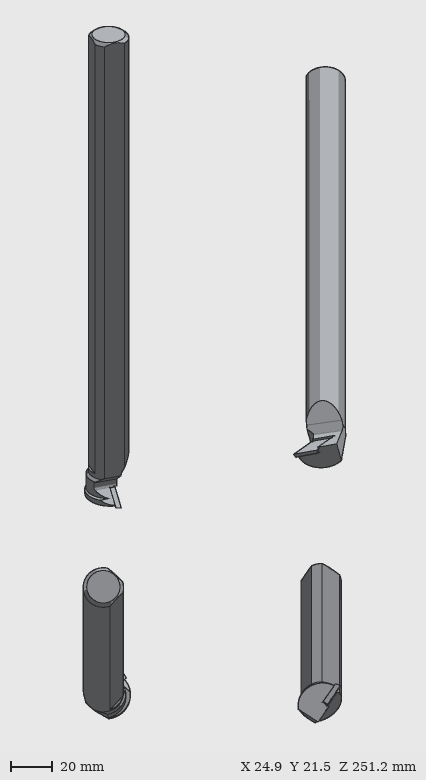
import cadquery as cq
import math

TOTAL_LENGTH = 251.2
OVERALL_WIDTH = 24.9
OVERALL_DEPTH = 21.5
MARGIN = 25.0

SHANK_RADIUS = 19.3 / 2
FRONT_FLAT = 8.5
SIDE_FLAT = 8.3
TOP_BEVEL_RADIAL = 1.8
TOP_BEVEL_HEIGHT = 1.5

HEAD_RADIUS = 10.8
COLLAR_TOP = 15.0
COLLAR_CONE_TOP = 12.8
COLLAR_BOTTOM = 11.3
FOOT_TOP = 3.5
FOOT_STEP = 0.38
CLEARANCE_RADIUS = 11.8
CLEARANCE_X = 1.5
CLEARANCE_Y = SHANK_RADIUS - OVERALL_DEPTH + CLEARANCE_RADIUS

HEEL_X = -6.0
HEEL_Z = 1.63
FACET_EDGE_X = -6.3
FACET_END_Y = -3.0
BACK_TOP_X = -SHANK_RADIUS
BACK_TOP_Z = 13.3
NECK_X = 5.3
NECK_TOP = 10.5
NECK_FILLET = 2.8 / 2
SHOULDER_Z = NECK_TOP + SIDE_FLAT - NECK_X

RELIEF_TOP_Z = 24.5
RELIEF_KNEE_Y = 3.8
RELIEF_KNEE_Z = 15.5
FACE_Y = 2.3
FACE_TOP_Z = 10.0

INSERT_SIDE = 11.3
INSERT_LEAD = 3.0
INSERT_NOSE_ANGLE = 35.0
INSERT_THICKNESS = 2.5
INSERT_FACE_Y = 1.0
INSERT_TAPER = 5.0
TIP_X = OVERALL_WIDTH - SHANK_RADIUS
SEAT_SETBACK = 1.3


def edge_vector(angle):
    """Rhombus edge running from the tip towards -X, raised by the angle."""
    radians = math.radians(angle)
    return -INSERT_SIDE * math.cos(radians), INSERT_SIDE * math.sin(radians)


def rhombus():
    """Insert outline on the plane of its +Y face."""
    low_x, low_z = edge_vector(INSERT_LEAD)
    high_x, high_z = edge_vector(INSERT_LEAD + INSERT_NOSE_ANGLE)
    return cq.Workplane("XZ", origin=(0, INSERT_FACE_Y, 0)).polyline([
        (TIP_X, 0),
        (TIP_X + high_x, high_z),
        (TIP_X + high_x + low_x, high_z + low_z),
        (TIP_X + low_x, low_z),
    ]).close()


def make_insert():
    return rhombus().extrude(INSERT_THICKNESS, taper=INSERT_TAPER)


def make_shank():
    shank = (
        cq.Workplane("XZ")
        .moveTo(0, COLLAR_TOP)
        .lineTo(SHANK_RADIUS, COLLAR_TOP)
        .lineTo(SHANK_RADIUS, TOTAL_LENGTH - TOP_BEVEL_HEIGHT)
        .lineTo(SHANK_RADIUS - TOP_BEVEL_RADIAL, TOTAL_LENGTH)
        .lineTo(0, TOTAL_LENGTH)
        .close()
        .revolve(360, (0, 0, 0), (0, 1, 0))
    )
    flats = cq.Workplane("XY").box(MARGIN, MARGIN, TOTAL_LENGTH, centered=False)
    return shank.intersect(flats.translate((SIDE_FLAT - MARGIN, -FRONT_FLAT, 0)))


def make_corner_facet():
    """Upright facet trimming the head where its front meets the sloping back."""
    edge_y = -math.sqrt(HEAD_RADIUS ** 2 - FACET_EDGE_X ** 2)
    return (
        cq.Workplane("XY")
        .polyline([
            (FACET_EDGE_X, edge_y),
            (-SHANK_RADIUS, FACET_END_Y),
            (-MARGIN, FACET_END_Y),
            (-MARGIN, -MARGIN),
            (FACET_EDGE_X, -MARGIN),
        ])
        .close()
        .extrude(COLLAR_TOP)
    )


def make_turned_head():
    """Round collar, cone, cylindrical neck and wider foot."""
    turned = (
        cq.Workplane("XZ")
        .moveTo(0, 0)
        .lineTo(MARGIN, 0)
        .lineTo(MARGIN, FOOT_TOP - FOOT_STEP)
        .lineTo(HEAD_RADIUS, FOOT_TOP)
        .lineTo(HEAD_RADIUS, COLLAR_BOTTOM)
        .lineTo(SHANK_RADIUS, COLLAR_CONE_TOP)
        .lineTo(SHANK_RADIUS, COLLAR_TOP)
        .lineTo(0, COLLAR_TOP)
        .close()
        .revolve(360, (0, 0, 0), (0, 1, 0))
    )
    clearance = (
        cq.Workplane("XY")
        .center(CLEARANCE_X, CLEARANCE_Y)
        .circle(CLEARANCE_RADIUS)
        .extrude(COLLAR_TOP)
    )
    return turned.intersect(clearance).cut(make_corner_facet())


def make_side_outline():
    """Bar outline across X: sloping back, flank under the insert and filleted neck."""
    flank_angle = math.radians(INSERT_LEAD + INSERT_NOSE_ANGLE)
    flank_slope = math.tan(flank_angle)
    floor_slope = math.tan(math.radians(INSERT_LEAD))
    flank_end_x = TIP_X - SEAT_SETBACK
    floor_z = HEEL_Z - (flank_end_x - HEEL_X) * floor_slope
    neck_z = floor_z + (flank_end_x - NECK_X) * flank_slope
    tangent = NECK_FILLET * math.tan((math.pi / 2 - flank_angle) / 2)
    return (
        cq.Workplane("XZ", origin=(0, MARGIN, 0))
        .moveTo(HEEL_X, HEEL_Z)
        .lineTo(flank_end_x, floor_z)
        .lineTo(NECK_X + tangent * math.cos(flank_angle), neck_z - tangent * math.sin(flank_angle))
        .tangentArcPoint((NECK_X, neck_z + tangent), relative=False)
        .lineTo(NECK_X, NECK_TOP)
        .lineTo(SIDE_FLAT, SHOULDER_Z)
        .lineTo(SIDE_FLAT, TOTAL_LENGTH)
        .lineTo(BACK_TOP_X, TOTAL_LENGTH)
        .lineTo(BACK_TOP_X, BACK_TOP_Z)
        .close()
        .extrude(2 * MARGIN)
    )


def make_relief():
    """Material removed behind the head to expose the face around the insert."""
    return (
        cq.Workplane("YZ", origin=(-MARGIN, 0, 0))
        .polyline([
            (SHANK_RADIUS, RELIEF_TOP_Z),
            (RELIEF_KNEE_Y, RELIEF_KNEE_Z),
            (FACE_Y, FACE_TOP_Z),
            (FACE_Y, -MARGIN),
            (MARGIN, -MARGIN),
            (MARGIN, RELIEF_TOP_Z),
        ])
        .close()
        .extrude(2 * MARGIN)
    )


def make_bar(insert):
    bar = make_shank().union(make_turned_head())
    bar = bar.intersect(make_side_outline()).cut(make_relief())
    pocket_opening = rhombus().extrude(INSERT_FACE_Y - FACE_Y)
    return bar.cut(pocket_opening).cut(insert)


insert = make_insert()
bar = make_bar(insert)

result = cq.Compound.makeCompound([bar.val(), insert.val()])